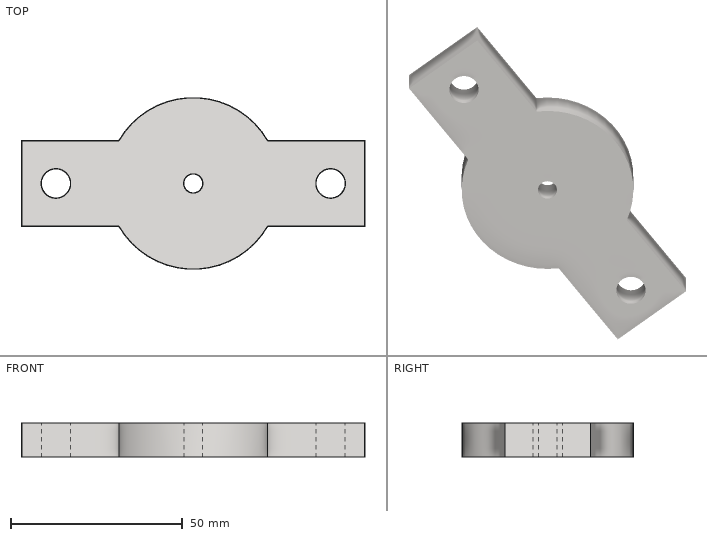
import cadquery as cq

bar_length = 100.0
bar_width = 25.0
thickness = 10.0
disc_diameter = 50.0
center_hole_diameter = 5.5
mount_hole_diameter = 8.5
mount_hole_spacing = 80.0

bar = cq.Workplane("XY").rect(bar_length, bar_width).extrude(thickness)
disc = cq.Workplane("XY").circle(disc_diameter / 2).extrude(thickness)
body = bar.union(disc)

center_hole = cq.Workplane("XY").circle(center_hole_diameter / 2).extrude(thickness)

mount_holes = (
    cq.Workplane("XY")
    .pushPoints([(-mount_hole_spacing / 2, 0), (mount_hole_spacing / 2, 0)])
    .circle(mount_hole_diameter / 2)
    .extrude(thickness)
)

result = body.cut(center_hole).cut(mount_holes)